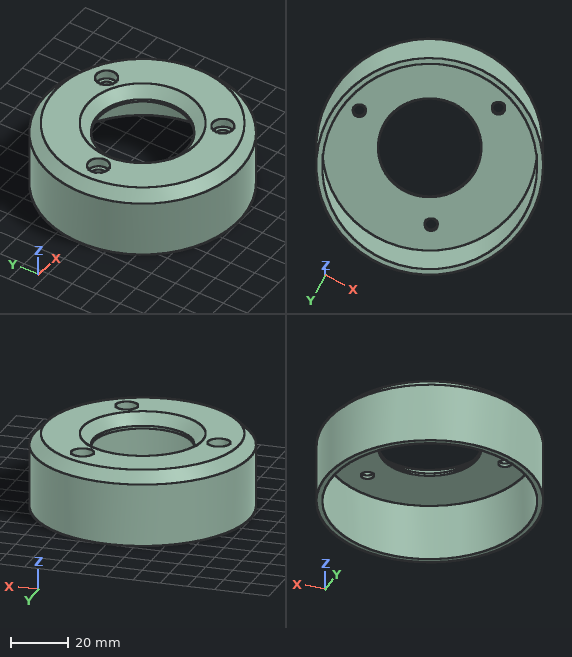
import cadquery as cq

outer_diameter = 79.2
height = 27.0
edge_chamfer = 4.0

cavity_diameter = 75.0
roof_thickness = 5.0

bore_diameter = 36.0
bore_chamfer = 3.95

screw_count = 3
screw_circle_radius = 28.0
screw_hole_diameter = 4.5
counterbore_diameter = 8.0
counterbore_depth = 3.6
first_screw_angle = 60.0

roof_underside = height - roof_thickness


def make_body():
    """Solid disc with a bevelled top rim."""
    disc = cq.Workplane("XY").circle(outer_diameter / 2).extrude(height)
    return disc.faces(">Z").edges().chamfer(edge_chamfer)


def make_cavity():
    """Round hollow that is open at the bottom."""
    return cq.Workplane("XY").circle(cavity_diameter / 2).extrude(roof_underside)


def make_opening():
    """Central bore that flares out at the top face."""
    bore_radius = bore_diameter / 2
    flare_start = height - bore_chamfer
    return (
        cq.Workplane("XZ")
        .lineTo(bore_radius, 0)
        .lineTo(bore_radius, flare_start)
        .lineTo(bore_radius + bore_chamfer, height)
        .lineTo(0, height)
        .close()
        .revolve(360, (0, 0, 0), (0, 1, 0))
    )


def cut_screw_holes(body):
    """Equally spaced holes, counterbored from the top face."""
    return (
        body.faces(">Z")
        .workplane(origin=(0, 0, height))
        .polarArray(screw_circle_radius, first_screw_angle, 360, screw_count)
        .cboreHole(screw_hole_diameter, counterbore_diameter, counterbore_depth)
    )


shell = make_body().cut(make_cavity()).cut(make_opening())
result = cut_screw_holes(shell)